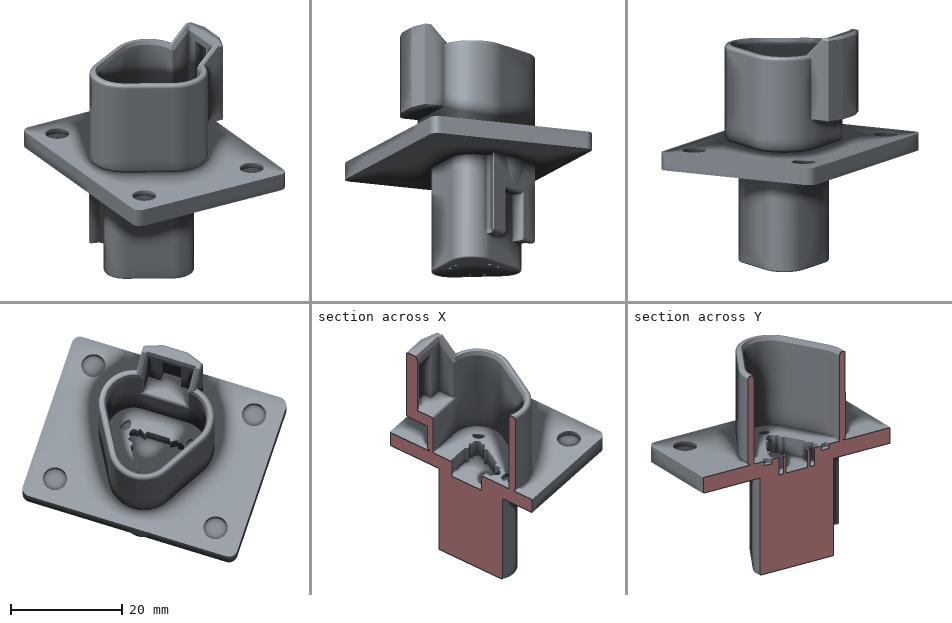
import cadquery as cq
import math

plate_x, plate_y, plate_t = 40.5, 31.75, 3.15
plate_corner_r = 1.55
hole_x, hole_y = 15.2, 11.3
hole_r, hole_depth = 2.15, 1.05

center_y = -1.25
corner_dist = 4.95
socket_r, cavity_r, plug_r = 6.35, 4.98, 3.85
flank_dist = corner_dist / 2
flank_y = center_y + flank_dist + cavity_r
corner_angles = (30, 150, 270)
flank_angles = (90, 210, 330)

socket_top = 20.65
socket_round = 0.6
rim_bevel = 0.35

star_depth, pad_depth = 3.45, 0.85
star_edge_dist, star_edge_half = 3.6, 2.1
arm_half, arm_end = 1.43, 4.95
tip_r = 0.85
pad_dist, pad_r, pad_bulge = 7.5, 1.15, 0.2

tower_half, tower_back_half = 5.63, 2.35
tower_back, tower_shoulder = 12.25, 11.05
tower_bottom, tower_top = 8.7, 23.98
tower_bevel, base_bevel = 0.3, 0.5
slope_start = 9.8
slope_run = slope_start - flank_y
pocket_half, pocket_back, pocket_floor = 4.3, 9.7, 11.4
pocket_lip_round, pocket_side_round = 0.55, 0.45
lead_in, lead_in_drop = 0.45, 0.75
groove_half, groove_depth, groove_top = 1.9, 1.6, 21.95

plug_bottom = -19.3
nub_r, nub_h = 0.25, 0.17
nub_dist, nub_angle = 4.45, 16.7
plug_floor = plug_bottom + nub_h
plug_round = 0.3

rail_flank_angle = 210
rail_half, rail_edge, rail_undercut = 6.28, 0.2, 1.25
rail_bottom = -14.4
rail_round = 0.5
slot_half, slot_top = 2.8, -5.75
bump_half, bump_tip, bump_height = 2.55, -5.1, 0.65


def polar(dist, angle):
    """Point at a distance and an angle from the centroid."""
    a = math.radians(angle)
    return dist * math.cos(a), center_y + dist * math.sin(a)


def rounded_triangle(radius, z0, z1):
    """Prism around the three arc centres, grown by a radius."""
    corners = [polar(corner_dist, a) for a in corner_angles]
    core = cq.Workplane("XY", origin=(0, 0, z0)).polyline(corners).close()
    return core.offset2D(radius, "arc").extrude(z1 - z0)


def block(x0, x1, y0, y1, z0, z1):
    """Box between two opposite corners."""
    return cq.Workplane("XY").box(x1 - x0, y1 - y0, z1 - z0, centered=False).translate((x0, y0, z0))


def three_fold(shape):
    """The shape and its two copies turned about the centroid."""
    axis = (0, center_y, 0), (0, center_y, 1)
    return shape.union(shape.rotate(*axis, 120)).union(shape.rotate(*axis, 240))


def onto_flank(shape):
    """Turn a shape whose outward direction is +Y onto the rail's flank."""
    return shape.rotate((0, 0, 0), (0, 0, 1), rail_flank_angle - 90).translate((0, center_y, 0))


def make_plate():
    plate = cq.Workplane("XY").rect(plate_x, plate_y).extrude(plate_t)
    plate = plate.edges("|Z").fillet(plate_corner_r)
    top = plate.faces(">Z").workplane(origin=(0, 0, plate_t))
    centers = top.rect(2 * hole_x, 2 * hole_y, forConstruction=True).vertices()
    return centers.hole(2 * hole_r, hole_depth)


def make_tower():
    outline = [(-tower_half, flank_y), (-tower_half, tower_shoulder), (-tower_back_half, tower_back)]
    mirrored = [(-x, y) for x, y in reversed(outline)]
    tower = cq.Workplane("XY", origin=(0, 0, tower_bottom)).polyline(outline + mirrored).close()
    tower = tower.extrude(tower_top - tower_bottom)
    tower = tower.faces("<Z").edges("not <Y").chamfer(tower_bevel, base_bevel)
    slope = cq.Workplane("YZ").moveTo(slope_start, tower_top).lineTo(flank_y, tower_top)
    slope = slope.lineTo(flank_y, tower_top - slope_run).close().extrude(tower_half, both=True)
    tower = tower.cut(slope)
    slope_face = cq.selectors.DirectionMinMaxSelector(cq.Vector(0, -1, 1), True)
    beside_slope = tower.faces(slope_face).edges("not |X")
    around_top = tower.faces(">Z").edges("not <Y")
    return around_top.add(beside_slope).chamfer(tower_bevel)


def make_mouth():
    """Bevel around the upper edge of the latch opening, following the slope."""
    along_slope = cq.Plane((0, slope_start, tower_top), (-1, 0, 0), (0, 1, 1))
    sides = cq.Workplane(along_slope).polyline(
        [
            (-pocket_half, -lead_in_drop),
            (pocket_half, -lead_in_drop),
            (pocket_half + 2 * lead_in, lead_in_drop),
            (-pocket_half - 2 * lead_in, lead_in_drop),
        ]
    )
    sides = sides.close().extrude(2 * slope_run, both=True)
    back = cq.Workplane("YZ").polyline(
        [
            (flank_y, tower_top),
            (flank_y, socket_top - lead_in_drop),
            (pocket_back, socket_top - lead_in_drop),
            (pocket_back, tower_top - lead_in_drop),
            (pocket_back + lead_in, tower_top),
        ]
    )
    return sides.intersect(back.close().extrude(tower_half, both=True))


def make_pocket_lip():
    """Space above the rounded front edge of the latch pocket's floor."""
    r = pocket_lip_round
    mid = r * (1 - math.sqrt(0.5))
    lip = cq.Workplane("YZ").moveTo(flank_y + r, pocket_floor)
    lip = lip.threePointArc((flank_y + mid, pocket_floor - mid), (flank_y, pocket_floor - r))
    lip = lip.lineTo(flank_y - r, pocket_floor - r).lineTo(flank_y - r, pocket_floor).close()
    return lip.extrude(pocket_half, both=True)


def make_cavity():
    """Socket cavity joined with the latch pocket, its groove and the bevelled rim."""
    cavity = rounded_triangle(cavity_r, plate_t, tower_top)
    pocket = block(-pocket_half, pocket_half, center_y, pocket_back, pocket_floor, tower_top)
    cavity = cavity.union(pocket)
    pocket_mid_z = (pocket_floor + tower_top) / 2
    for x in (-pocket_half, pocket_half):
        corner = cq.selectors.NearestToPointSelector((x, flank_y, pocket_mid_z))
        cavity = cavity.edges(corner).fillet(pocket_side_round)
    groove_back = pocket_back + groove_depth
    groove = block(-groove_half, groove_half, pocket_back, groove_back, pocket_floor, groove_top)
    bevel_height = lead_in_drop * 0.999
    rim = rounded_triangle(cavity_r + rim_bevel, socket_top - lead_in_drop, socket_top)
    rim = rim.faces("<Z").edges().chamfer(bevel_height, rim_bevel)
    return cavity.union(make_pocket_lip()).union(groove).union(rim).union(make_mouth())


def make_floor_recesses():
    """Star-shaped keyway and three small pads sunk into the socket floor."""
    floor = cq.Workplane("XY", origin=(0, 0, plate_t))
    tip_y = center_y - arm_end
    arm = floor.moveTo(-arm_half, center_y).lineTo(-arm_half, tip_y)
    arm = arm.lineTo(-tip_r, tip_y).threePointArc((0, tip_y - tip_r), (tip_r, tip_y))
    arm = arm.lineTo(arm_half, tip_y).lineTo(arm_half, center_y).close().extrude(-star_depth)
    corner = math.hypot(star_edge_dist, star_edge_half)
    spread = math.degrees(math.atan2(star_edge_half, star_edge_dist))
    hexagon = [polar(corner, a + s) for a in flank_angles for s in (-spread, spread)]
    core = floor.polyline(hexagon).close().extrude(-star_depth)
    pad_y = center_y - pad_dist
    pad = floor.moveTo(-pad_r, pad_y).threePointArc((0, pad_y + pad_r), (pad_r, pad_y))
    pad = pad.threePointArc((0, pad_y - pad_bulge), (-pad_r, pad_y)).close().extrude(-pad_depth)
    return core.union(three_fold(arm)).union(three_fold(pad))


def make_socket():
    socket = rounded_triangle(socket_r, plate_t, socket_top)
    socket = socket.faces(">Z or <Z").edges().fillet(socket_round)
    foot_top = plate_t + socket_round
    foot_strip = block(-rail_half, rail_half, 0, 2 * socket_r, plate_t, foot_top)
    foot = rounded_triangle(socket_r, plate_t, foot_top).intersect(onto_flank(foot_strip))
    return socket.union(foot).union(make_tower()).cut(make_cavity())


def make_rail():
    """Undercut rail with a slot and a bump, built facing +Y and turned onto the flank."""
    outer = flank_dist + socket_r
    neck = rail_half - rail_undercut
    edge_end = outer - rail_edge
    half = [(rail_half, outer), (rail_half, edge_end), (neck, edge_end - rail_undercut), (neck, flank_dist)]
    outline = half + [(-x, y) for x, y in reversed(half)]
    rail = cq.Workplane("XY", origin=(0, 0, rail_bottom)).polyline(outline).close().extrude(-rail_bottom)
    slot = block(-slot_half, slot_half, flank_dist + plug_r, outer, rail_bottom, slot_top)
    rail = rail.cut(slot)
    rail = rail.faces(">Y").edges("|X").edges("<Z or (not >Z)").fillet(rail_round)
    bump_r = (bump_half**2 + bump_height**2) / (2 * bump_height)
    tilted = cq.Plane((0, outer, bump_tip), (1, 0, 0), (0, bump_height, -bump_tip))
    bump = cq.Workplane(tilted).center(0, -bump_r).circle(bump_r).extrude(-2 * bump_tip)
    bump_space = block(-rail_half, rail_half, outer - rail_edge, outer + bump_r, bump_tip, 0)
    return onto_flank(rail.union(bump.intersect(bump_space)))


def make_plug():
    plug = rounded_triangle(plug_r, plug_floor, 0).faces("<Z").edges().fillet(plug_round)
    spots = [polar(nub_dist, a + s) for a in flank_angles for s in (-nub_angle, nub_angle)]
    nubs = cq.Workplane("XY", origin=(0, 0, plug_bottom)).pushPoints(spots).circle(nub_r).extrude(2 * nub_h)
    return plug.union(nubs)


body = make_plate().union(make_plug()).union(make_rail())
result = body.union(make_socket()).cut(make_floor_recesses())